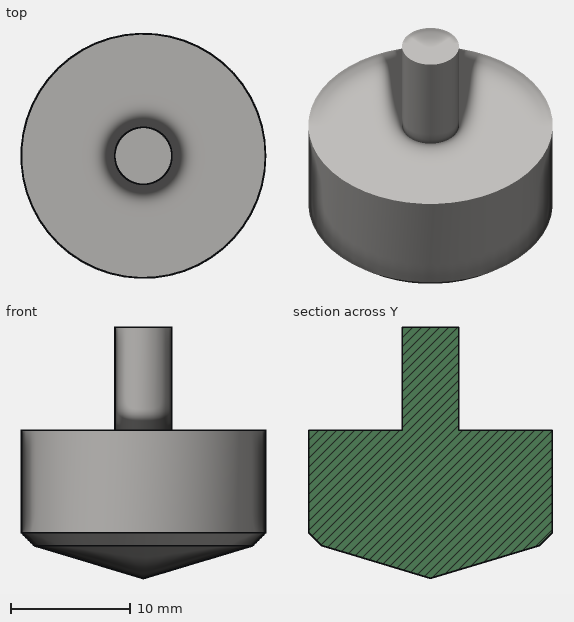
import cadquery as cq

total_height = 21.1
body_diameter = 20.5
pin_diameter = 4.8
pin_length = 8.65
chamfer_size = 1.12
tip_height = 2.75

body_radius = body_diameter / 2
pin_radius = pin_diameter / 2
tip_radius = body_radius - chamfer_size
body_bottom = tip_height + chamfer_size
body_top = total_height - pin_length

half_section = (
    cq.Workplane("XZ")
    .moveTo(0, 0)
    .lineTo(tip_radius, tip_height)
    .lineTo(body_radius, body_bottom)
    .lineTo(body_radius, body_top)
    .lineTo(pin_radius, body_top)
    .lineTo(pin_radius, total_height)
    .lineTo(0, total_height)
    .close()
)

result = half_section.revolve(360, (0, 0, 0), (0, 1, 0))